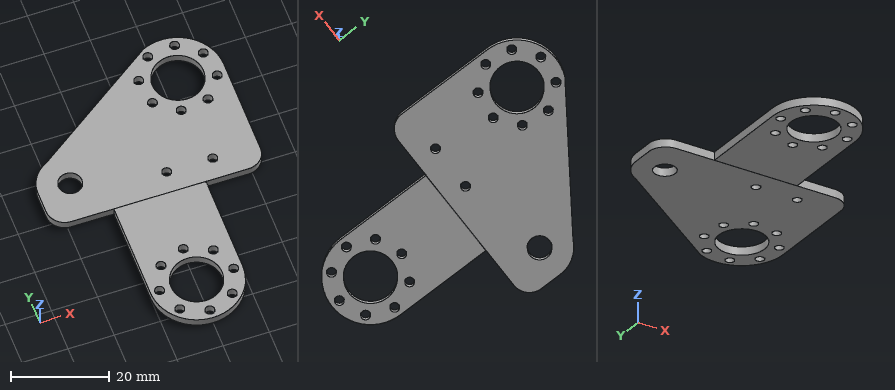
import cadquery as cq
import math

thickness = 2.0
end_radius = 10.0
bore_diameter = 11.0
small_hole_diameter = 2.0
bolt_circle_radius = 8.0
bolt_count = 8
plate_bolt_rotation = 30.0

plate_width = 46.45
plate_bottom = 22.05
bottom_corner_radius = 4.0

plate_right = plate_width / 2
plate_left = -plate_right
total_length = 68.0
plate_bore_center = (plate_right - end_radius, total_length - 2 * end_radius)

pivot_diameter = 5.0
pivot_corner_radius = 7.0
pivot_center = (plate_left + pivot_corner_radius, 31.0)

mounting_hole_y = 27.0
mounting_hole_spacing = 10.0
mounting_hole_centers = [
    (plate_bore_center[0] - mounting_hole_spacing, mounting_hole_y),
    (plate_bore_center[0], mounting_hole_y),
]


def point_on_circle(center, radius, angle):
    """Point at an angle in degrees, counter-clockwise from +X."""
    turn = math.radians(angle)
    return (center[0] + radius * math.cos(turn), center[1] + radius * math.sin(turn))


def drill(body, centers, diameter):
    """Cut vertical through holes."""
    cutters = cq.Workplane("XY").pushPoints(centers).circle(diameter / 2).extrude(thickness)
    return body.cut(cutters)


def drill_bore_pattern(body, center, rotation):
    """Cut a large bore and the ring of bolt holes around it."""
    step = 360 / bolt_count
    bolt_centers = [
        point_on_circle(center, bolt_circle_radius, rotation + i * step)
        for i in range(bolt_count)
    ]
    body = drill(body, [center], bore_diameter)
    return drill(body, bolt_centers, small_hole_diameter)


def make_arm():
    """Straight arm with a round end, butting against the plate."""
    arm = (
        cq.Workplane("XY")
        .moveTo(-end_radius, plate_bottom)
        .lineTo(-end_radius, 0)
        .threePointArc((0, -end_radius), (end_radius, 0))
        .lineTo(end_radius, plate_bottom)
        .close()
        .extrude(thickness)
    )
    return drill_bore_pattern(arm, (0, 0), 0)


def make_plate():
    """Plate whose sloping edge is tangent to its two upper corner arcs."""
    center_dx = plate_bore_center[0] - pivot_center[0]
    center_dy = plate_bore_center[1] - pivot_center[1]
    center_angle = math.degrees(math.atan2(center_dy, center_dx))
    radius_ratio = (end_radius - pivot_corner_radius) / math.hypot(center_dx, center_dy)
    tangent_angle = center_angle + math.degrees(math.acos(radius_ratio))

    plate = (
        cq.Workplane("XY")
        .moveTo(plate_left, plate_bottom)
        .lineTo(plate_right, plate_bottom)
        .lineTo(plate_right, plate_bore_center[1])
        .threePointArc(
            point_on_circle(plate_bore_center, end_radius, tangent_angle / 2),
            point_on_circle(plate_bore_center, end_radius, tangent_angle),
        )
        .lineTo(*point_on_circle(pivot_center, pivot_corner_radius, tangent_angle))
        .threePointArc(
            point_on_circle(pivot_center, pivot_corner_radius, (tangent_angle + 180) / 2),
            (plate_left, pivot_center[1]),
        )
        .close()
        .extrude(thickness)
    )
    plate = plate.edges("|Z and <Y").fillet(bottom_corner_radius)
    plate = drill_bore_pattern(plate, plate_bore_center, plate_bolt_rotation)
    plate = drill(plate, [pivot_center], pivot_diameter)
    return drill(plate, mounting_hole_centers, small_hole_diameter)


arm = make_arm()
plate = make_plate()

result = cq.Compound.makeCompound([arm.val(), plate.val()])